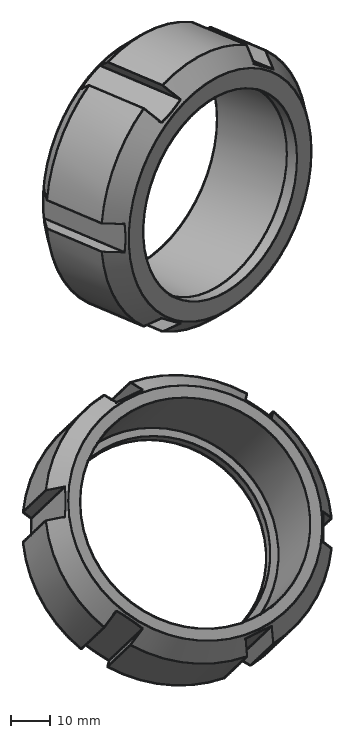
import cadquery as cq

outer_diameter = 76.7
width = 30.0
bore_diameter = 61.4
lip_diameter = 57.0
lip_thickness = 3.5
chamfer_length = 5.45
end_face_diameter = 67.8

slot_count = 6
slot_width = 8.05
slot_floor_radius = 34.45


def ring_body():
    """Revolve the ring section: conical shoulders outside, a retaining lip at +X inside."""
    end_x = width / 2
    shoulder_x = end_x - chamfer_length
    lip_x = end_x - lip_thickness
    outer_radius = outer_diameter / 2
    end_radius = end_face_diameter / 2
    bore_radius = bore_diameter / 2
    lip_radius = lip_diameter / 2
    section = [
        (-end_x, bore_radius),
        (-end_x, end_radius),
        (-shoulder_x, outer_radius),
        (shoulder_x, outer_radius),
        (end_x, end_radius),
        (end_x, lip_radius),
        (lip_x, lip_radius),
        (lip_x, bore_radius),
    ]
    return cq.Workplane("XY").polyline(section).close().revolve(360, (0, 0, 0), (1, 0, 0))


def slot_cutter(angle):
    """Block reaching outward from the flat slot floor, turned about the ring axis."""
    depth = outer_diameter / 2
    block = cq.Workplane("XY").box(width, depth, slot_width)
    block = block.translate((0, slot_floor_radius + depth / 2, 0))
    return block.rotate((0, 0, 0), (1, 0, 0), angle)


result = ring_body()
for index in range(slot_count):
    result = result.cut(slot_cutter(index * 360 / slot_count))